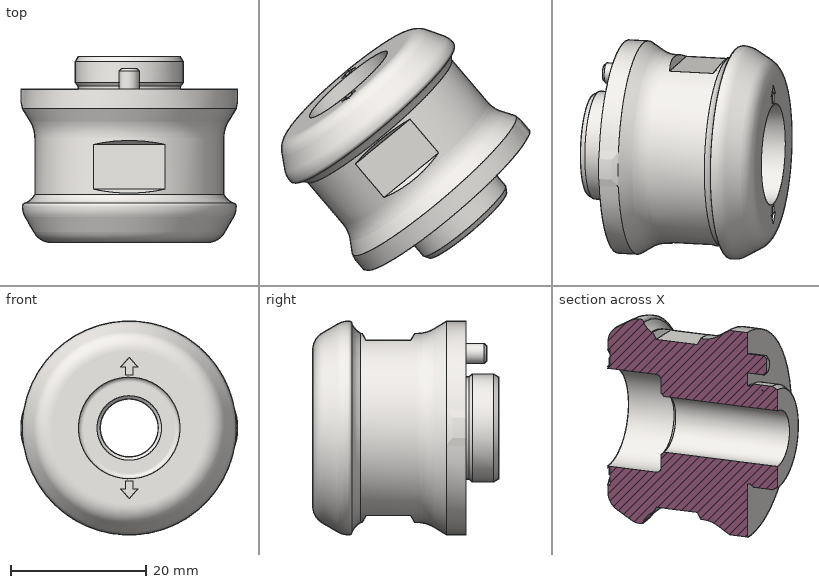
import cadquery as cq
import math


waist_radius = 13.98
rim_radius = 15.8
body_length = 22.67
flange_thickness = 2.9
slope = math.radians(30)
waist_start = 7.23
waist_end = 15.57
flange_blend_radius = 4.8
front_round_radius = 3.0
crest_start = 17.3
crest_end = 17.4
crest_back_radius = 0.48
collar_blend_mid = (16.47, 14.75)

spigot_radius = 8.0
spigot_length = 4.83
spigot_chamfer = 0.8
spigot_chamfer_radial = 0.48
neck_radius = 7.58
neck_length = 0.4
neck_slope_length = 0.5

bore_radius = 15.0 / 2
bore_depth = 8.6
bore_floor_fillet = 0.75
hole_radius = 4.25
hole_chamfer = 0.5

pin_radius = 1.5
pin_height = 11.0
pin_length = 3.05
pin_chamfer = 0.38

flat_height = 12.95
flat_start = 8.2
flat_end = 14.77
cut_clearance = 0.03
flat_wall_slope = math.radians(60)

lug_radius = 16.0
lug_half_width = 1.5
lug_foot_half_width = 2.7
lug_straight_length = 1.98

arrow_tail = 7.8
arrow_shoulder = 9.0
arrow_tip = 10.43
arrow_half_width = 1.28
arrow_shaft_half_width = 0.55
arrow_depth = 0.32


def at(radius, distance):
    """Profile point in the XY plane."""
    return (radius, -distance)


def revolve(profile):
    return profile.close().revolve(360, (0, 0, 0), (0, 1, 0))


def on_arc(center_radius, center_distance, arc_radius, angle):
    """Point on an arc; the angle runs from radially outward toward the front."""
    return at(
        center_radius + arc_radius * math.cos(angle),
        center_distance + arc_radius * math.sin(angle),
    )


def make_body():
    blend_center = (waist_radius + flange_blend_radius, waist_start)
    crest_center = (rim_radius - front_round_radius, crest_end)
    back_center = (rim_radius - crest_back_radius, crest_start)
    edge_distance = body_length - front_round_radius
    edge_radius = crest_center[0] - (edge_distance - crest_end) * math.tan(slope)
    edge_center = (edge_radius, edge_distance)

    return revolve(
        cq.Workplane("XY")
        .moveTo(0, 0)
        .lineTo(*at(rim_radius, 0))
        .lineTo(*at(rim_radius, flange_thickness))
        .lineTo(*on_arc(*blend_center, flange_blend_radius, math.pi + slope))
        .threePointArc(
            on_arc(*blend_center, flange_blend_radius, math.pi + slope / 2),
            at(waist_radius, waist_start),
        )
        .lineTo(*at(waist_radius, waist_end))
        .threePointArc(
            at(collar_blend_mid[1], collar_blend_mid[0]),
            on_arc(*back_center, crest_back_radius, -math.pi / 2),
        )
        .threePointArc(
            on_arc(*back_center, crest_back_radius, -math.pi / 4),
            at(rim_radius, crest_start),
        )
        .lineTo(*at(rim_radius, crest_end))
        .threePointArc(
            on_arc(*crest_center, front_round_radius, slope / 2),
            on_arc(*crest_center, front_round_radius, slope),
        )
        .lineTo(*on_arc(*edge_center, front_round_radius, slope))
        .threePointArc(
            on_arc(*edge_center, front_round_radius, (slope + math.pi / 2) / 2),
            at(edge_radius, body_length),
        )
        .lineTo(*at(0, body_length))
    )


def make_spigot():
    return revolve(
        cq.Workplane("XY")
        .moveTo(0, 0)
        .lineTo(neck_radius, 0)
        .lineTo(neck_radius, neck_length)
        .lineTo(spigot_radius, neck_length + neck_slope_length)
        .lineTo(spigot_radius, spigot_length - spigot_chamfer)
        .lineTo(spigot_radius - spigot_chamfer_radial, spigot_length)
        .lineTo(0, spigot_length)
    )


def make_pin():
    return (
        cq.Workplane("XZ")
        .center(0, pin_height)
        .circle(pin_radius)
        .extrude(-pin_length)
        .faces(">Y")
        .chamfer(pin_chamfer)
    )


def make_lugs():
    """Two low lugs on the flange rim, with sloped sides and a sloped front end."""
    ring = revolve(
        cq.Workplane("XY")
        .moveTo(0, 0)
        .lineTo(*at(lug_radius, 0))
        .lineTo(*at(lug_radius, lug_straight_length))
        .lineTo(*at(rim_radius, flange_thickness))
        .lineTo(*at(0, flange_thickness))
    )
    foot_x = math.sqrt(rim_radius**2 - lug_foot_half_width**2)
    shoulder_x = math.sqrt(lug_radius**2 - lug_half_width**2)
    corners = [
        (foot_x, lug_foot_half_width),
        (shoulder_x, lug_half_width),
        (lug_radius, lug_half_width),
    ]
    mirrored = [(x, -z) for x, z in reversed(corners)]
    right_side = corners + mirrored
    outline = right_side + [(-x, -z) for x, z in right_side]
    return ring.intersect(cq.Workplane("XZ").polyline(outline).close().extrude(flange_thickness))


def make_bore():
    """Front bore with a rounded floor, and a chamfered hole through the spigot."""
    floor = body_length - bore_depth
    floor_flat_radius = bore_radius - bore_floor_fillet
    fillet_center = (floor_flat_radius, floor + bore_floor_fillet)
    return revolve(
        cq.Workplane("XY")
        .moveTo(0, spigot_length)
        .lineTo(hole_radius, spigot_length)
        .lineTo(*at(hole_radius, floor - hole_chamfer))
        .lineTo(*at(hole_radius + hole_chamfer, floor))
        .lineTo(*at(floor_flat_radius, floor))
        .threePointArc(
            on_arc(*fillet_center, bore_floor_fillet, -math.pi / 4),
            at(bore_radius, floor + bore_floor_fillet),
        )
        .lineTo(*at(bore_radius, body_length))
        .lineTo(*at(0, body_length))
    )


def make_flat_cut(side):
    """Trapezoidal cutter for the wrench flat on the +Z (1) or -Z (-1) side."""
    top = waist_radius + cut_clearance
    spread = (top - flat_height) / math.tan(flat_wall_slope)
    return (
        cq.Workplane("YZ")
        .polyline([
            (-flat_start, side * flat_height),
            (-flat_end, side * flat_height),
            (-flat_end - spread, side * top),
            (-flat_start + spread, side * top),
        ])
        .close()
        .extrude(waist_radius, both=True)
    )


def make_arrow_cut(side):
    """Outward arrow above (1) or below (-1) the bore."""
    half = [
        (arrow_shaft_half_width, arrow_tail),
        (arrow_shaft_half_width, arrow_shoulder),
        (arrow_half_width, arrow_shoulder),
    ]
    outline = half + [(0, arrow_tip)] + [(-x, z) for x, z in reversed(half)]
    return (
        cq.Workplane("XZ", origin=(0, -body_length, 0))
        .polyline([(x, side * z) for x, z in outline])
        .close()
        .extrude(-arrow_depth)
    )


result = make_body().union(make_spigot()).union(make_pin()).union(make_lugs())
result = result.cut(make_bore())
for side in (1, -1):
    result = result.cut(make_flat_cut(side)).cut(make_arrow_cut(side))